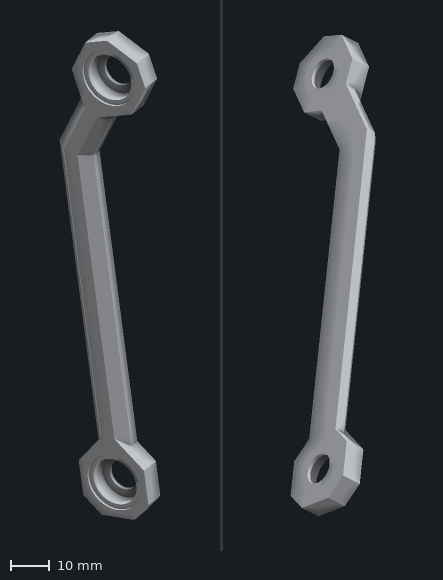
import cadquery as cq
import math

thickness = 6.0
bevel = thickness / 2
eye_width = 20.0
eye_half_width = eye_width / 2
eye_half_flat = eye_half_width / 2
arm_half_width = eye_half_flat
crest_half_width = arm_half_width - bevel

hole_diameter = 8.4
seat_diameter = 13.0
seat_depth = 5.0
recess_diameter = 15.7
recess_depth = 0.7


def direction(start, end):
    """Unit vector from start to end."""
    length = math.dist(start, end)
    return ((end[0] - start[0]) / length, (end[1] - start[1]) / length)


overall_height = 141.8
lower_eye = (0, 0)
elbow = (-13.0, 94.7)
lower_dir = direction(lower_eye, elbow)
lower_reach = eye_half_width * lower_dir[1] - eye_half_flat * lower_dir[0]
upper_reach = math.hypot(eye_half_width, eye_half_flat)
upper_eye = (-1.5, overall_height - lower_reach - upper_reach)


def front_plane(y):
    """XZ plane at the given Y, with its normal toward the front."""
    return cq.Workplane("XZ", origin=(0, y, 0))


def arm_side(offset):
    """Points of the arm centreline moved sideways, mitred at the elbow."""
    upper_dir = direction(elbow, upper_eye)
    lower_normal = (-lower_dir[1], lower_dir[0])
    upper_normal = (-upper_dir[1], upper_dir[0])
    mitre = 1 + lower_normal[0] * upper_normal[0] + lower_normal[1] * upper_normal[1]
    elbow_normal = tuple((a + b) / mitre for a, b in zip(lower_normal, upper_normal))
    stations = ((lower_eye, lower_normal), (elbow, elbow_normal), (upper_eye, upper_normal))
    return [(p[0] + offset * n[0], p[1] + offset * n[1]) for p, n in stations]


def arm_outline(half_width):
    return arm_side(half_width) + arm_side(-half_width)[::-1]


def make_arm():
    """Straight-sided back half topped by a front half with 45 degree bevels."""
    back = front_plane(0).polyline(arm_outline(arm_half_width)).close().extrude(thickness - bevel)
    front = (
        front_plane(bevel - thickness)
        .polyline(arm_outline(arm_half_width)).close()
        .workplane(offset=bevel)
        .polyline(arm_outline(crest_half_width)).close()
        .loft(ruled=True)
    )
    return back.union(front)


def make_eye(center):
    """Octagon whose two sides nearest the arm run on until they meet the arm crest."""
    along = direction(center, elbow)
    throat = eye_half_width + eye_half_flat - crest_half_width
    half_outline = [
        (throat, crest_half_width),
        (eye_half_flat, eye_half_width),
        (-eye_half_flat, eye_half_width),
        (-eye_half_width, eye_half_flat),
    ]
    outline = half_outline + [(a, -c) for a, c in reversed(half_outline)]
    points = [
        (center[0] + a * along[0] - c * along[1], center[1] + a * along[1] + c * along[0])
        for a, c in outline
    ]
    return front_plane(0).polyline(points).close().extrude(thickness)


def bore(diameter, depth):
    """Round cutters sunk from the front face at both eyes."""
    return (
        front_plane(depth - thickness)
        .pushPoints([lower_eye, upper_eye])
        .circle(diameter / 2)
        .extrude(depth)
    )


result = make_arm().union(make_eye(lower_eye)).union(make_eye(upper_eye))
result = result.cut(bore(hole_diameter, thickness))
result = result.cut(bore(seat_diameter, seat_depth))
result = result.cut(bore(recess_diameter, recess_depth))